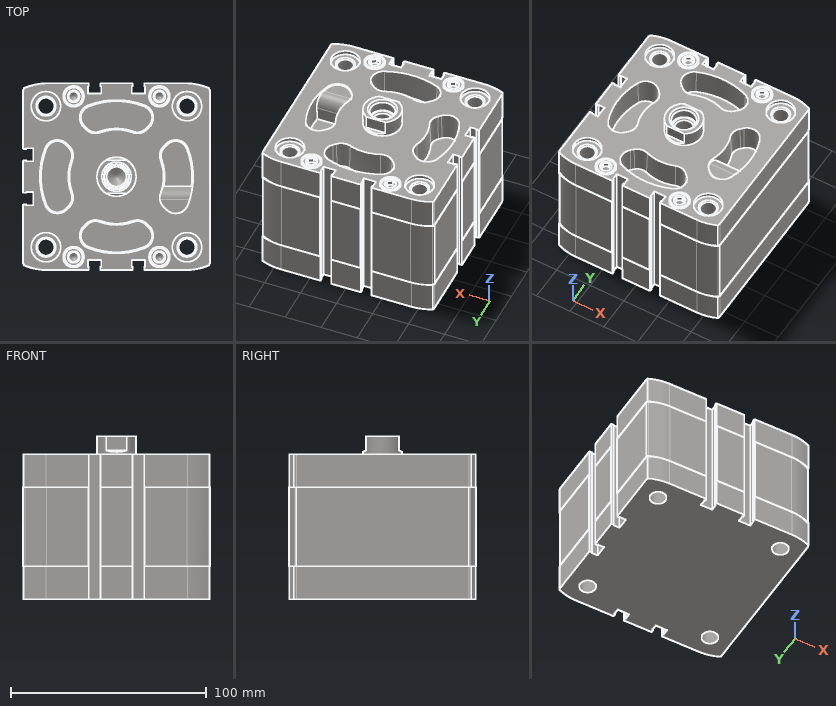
import cadquery as cq
import math

width = 95.5
half_width = width / 2
body_height = 74.1
total_height = 83.4
cap_height = 16.8
barrel_height = body_height - 2 * cap_height

cap_inset = 0.15
cap_arc_start = 36.2
cap_nose = (47.3, 45.25)
barrel_arc_start = 35.8
barrel_nose = (46.9, 44.85)
nose_start = 44.1

slot_offset = 11.2
slot_depth = 5.2
slot_mouth_width = 5.8
slot_inner_width = 6.6
slot_lip = 1.7
slot_mouth_chamfer = 0.3

mount_offset = 36.0
mount_hole_diameter = 8.57
mount_chamfer_diameter = 10.0
mount_seat_diameter = 15.0
mount_seat_depth = 2.4

screw_offset_x = 21.9
screw_offset_y = 41.0
screw_recess_diameter = 10.7
screw_recess_depth = 1.0
screw_head_diameter = 10.0
screw_top_diameter = 9.0
socket_flats = 5.0
socket_entry_diameter = 6.1
socket_depth = 3.0
drill_tip_angle = 118.0

pocket_inner_radius = 24.0
pocket_outer_radius = 39.2
pocket_half_length = 18.8
pocket_end_radius = 6.7
pocket_corner_flat = 2.0
pocket_depth = 15.0
pocket_draft = 2.5

boss_diameter = 13.0
boss_axis_y = -11.4
boss_top_drop = 0.8

rod_diameter = 20.0
rod_stickout = total_height - body_height
rod_insertion = cap_height
rod_length = rod_stickout + rod_insertion
rod_flats = 17.0
rod_flat_height = 7.3
rod_flat_runout_angle = 30.0
rod_mouth_diameter = 15.0
rod_mouth_depth = 1.2
rod_counterbore_diameter = 13.0
rod_counterbore_depth = 6.5
rod_thread_entry_diameter = 12.0
rod_thread_diameter = 10.11
rod_thread_end = 20.0


def tip_height(diameter):
    """Height of the cone a drill leaves at the end of a hole."""
    return diameter / 2 / math.tan(math.radians(drill_tip_angle / 2))


def chamfer_height(large_diameter, small_diameter):
    """Height of a 45 degree cone between two diameters."""
    return (large_diameter - small_diameter) / 2


def revolved(profile):
    """Solid of revolution about Z from (radius, z) points."""
    return cq.Workplane("XZ").polyline(profile).close().revolve(360, (0, 0, 0), (0, 1, 0))


def section(half_side, arc_start, nose, bottom, height):
    """Square block whose corners are an arc tangent to the Y face, then a flat nose to the X face."""
    nose_x, nose_y = nose
    run = nose_x - arc_start
    drop = half_side - nose_y
    radius = (run**2 + drop**2) / (2 * drop)
    half_sweep = math.atan2(drop, run)
    arc_middle_x = arc_start + radius * math.sin(half_sweep)
    arc_middle_y = half_side - radius * (1 - math.cos(half_sweep))
    return (
        cq.Workplane("XY", origin=(0, 0, bottom))
        .moveTo(half_side, -nose_start)
        .lineTo(half_side, nose_start)
        .lineTo(nose_x, nose_y)
        .threePointArc((arc_middle_x, arc_middle_y), (arc_start, half_side))
        .lineTo(-arc_start, half_side)
        .threePointArc((-arc_middle_x, arc_middle_y), (-nose_x, nose_y))
        .lineTo(-half_side, nose_start)
        .lineTo(-half_side, -nose_start)
        .lineTo(-nose_x, -nose_y)
        .threePointArc((-arc_middle_x, -arc_middle_y), (-arc_start, -half_side))
        .lineTo(arc_start, -half_side)
        .threePointArc((arc_middle_x, -arc_middle_y), (nose_x, -nose_y))
        .close()
        .extrude(height)
    )


def t_slot():
    """Slot cutter entering through the +Y face, centred on X = 0."""
    mouth = slot_mouth_width / 2
    inner = slot_inner_width / 2
    flare = mouth + slot_mouth_chamfer
    face = half_width
    lip_end = face - slot_lip
    floor = face - slot_depth
    right_side = [
        (flare, face),
        (mouth, face - slot_mouth_chamfer),
        (mouth, lip_end),
        (inner, lip_end),
        (inner, floor),
    ]
    left_side = [(-x, y) for x, y in reversed(right_side)]
    return cq.Workplane("XY").polyline(right_side + left_side).close().extrude(body_height)


def mount_hole():
    """Stepped through hole with a flat seat and a chamfer."""
    hole = mount_hole_diameter / 2
    chamfer = mount_chamfer_diameter / 2
    seat = mount_seat_diameter / 2
    seat_z = body_height - mount_seat_depth
    chamfer_z = seat_z - chamfer_height(mount_chamfer_diameter, mount_hole_diameter)
    return revolved([
        (0, 0),
        (hole, 0),
        (hole, chamfer_z),
        (chamfer, seat_z),
        (seat, seat_z),
        (seat, body_height),
        (0, body_height),
    ])


def screw_gap():
    """Ring-shaped gap around a screw head whose top edge is chamfered."""
    recess = screw_recess_diameter / 2
    head = screw_head_diameter / 2
    top = screw_top_diameter / 2
    floor = body_height - screw_recess_depth
    chamfer_z = body_height - chamfer_height(screw_head_diameter, screw_top_diameter)
    return revolved([
        (head, floor),
        (recess, floor),
        (recess, body_height),
        (top, body_height),
        (head, chamfer_z),
    ])


def screw_socket():
    """Hexagon socket with corners along Y, a conical entry and a drilled tip."""
    bottom = body_height - socket_depth
    across_corners = socket_flats / math.cos(math.pi / 6)
    hexagon = (
        cq.Workplane("XY", origin=(0, 0, bottom))
        .transformed(rotate=(0, 0, 90))
        .polygon(6, across_corners)
        .extrude(socket_depth)
    )
    entry_radius = socket_entry_diameter / 2
    entry = revolved([
        (0, body_height),
        (entry_radius, body_height),
        (0, body_height - entry_radius),
    ])
    tip = revolved([
        (0, bottom),
        (socket_flats / 2, bottom),
        (0, bottom - tip_height(socket_flats)),
    ])
    return hexagon.union(entry).union(tip)


def kidney_outline(inset, z):
    """Wire of the +Y kidney, moved inward by `inset`, between two arcs about the rod axis.

    At each end a round runs from the outer arc to a short 45 degree flat, and a fillet
    joins that flat to the inner arc.
    """
    inner_radius = pocket_inner_radius + inset
    outer_radius = pocket_outer_radius - inset
    length = pocket_half_length - inset
    end_radius = pocket_end_radius - inset
    end_x = length - end_radius
    end_y = math.sqrt((outer_radius - end_radius)**2 - end_x**2)
    end_centre = (end_x, end_y)

    flat = pocket_corner_flat * math.sqrt(0.5)
    flat_angle = -math.pi / 4
    inner_x = end_x + end_radius * math.cos(flat_angle) - flat
    inner_y = end_y + end_radius * math.sin(flat_angle) - flat
    flat_end = (inner_x, inner_y)
    normal_reach = (inner_y - inner_x) * math.sqrt(0.5)
    inner_fillet = (inner_x**2 + inner_y**2 - inner_radius**2) / (2 * (inner_radius - normal_reach))

    def on_circle(centre, radius, angle):
        return (centre[0] + radius * math.cos(angle), centre[1] + radius * math.sin(angle))

    def mirrored(point):
        return (-point[0], point[1])

    outer_angle = math.atan2(end_y, end_x)
    outer_end = on_circle((0, 0), outer_radius, outer_angle)
    end_middle = on_circle(end_centre, end_radius, 0)
    flat_start = on_circle(end_centre, end_radius, flat_angle)

    inner_centre = on_circle(flat_end, inner_fillet, flat_angle + math.pi)
    inner_angle = math.atan2(inner_centre[1], inner_centre[0])
    inner_middle = on_circle(inner_centre, inner_fillet, (flat_angle + inner_angle - math.pi) / 2)
    inner_end = on_circle((0, 0), inner_radius, inner_angle)

    return (
        cq.Workplane("XY", origin=(0, 0, z))
        .moveTo(*mirrored(outer_end))
        .threePointArc((0, outer_radius), outer_end)
        .threePointArc(end_middle, flat_start)
        .lineTo(*flat_end)
        .threePointArc(inner_middle, inner_end)
        .threePointArc((0, inner_radius), mirrored(inner_end))
        .threePointArc(mirrored(inner_middle), mirrored(flat_end))
        .lineTo(*mirrored(flat_start))
        .threePointArc(mirrored(end_middle), mirrored(outer_end))
        .close()
        .val()
    )


def kidney_pocket():
    """Kidney pocket on +Y whose wall leans inward down to the floor."""
    inset = pocket_depth * math.tan(math.radians(pocket_draft))
    top = kidney_outline(0, body_height)
    floor = kidney_outline(inset, body_height - pocket_depth)
    return cq.Workplane("XY").add(cq.Solid.makeLoft([top, floor], True))


def port_boss():
    """Material left standing in the +X pocket, rounded over on its +Y side."""
    radius = boss_diameter / 2
    top = body_height - boss_top_drop
    bottom = body_height - pocket_depth
    far_end = -pocket_half_length
    round_x = boss_axis_y + radius * math.sin(math.pi / 4)
    round_z = top - radius * (1 - math.cos(math.pi / 4))
    return (
        cq.Workplane("YZ", origin=(pocket_inner_radius / 2, 0, 0))
        .moveTo(far_end, bottom)
        .lineTo(far_end, top)
        .lineTo(boss_axis_y, top)
        .threePointArc((round_x, round_z), (boss_axis_y + radius, top - radius))
        .lineTo(boss_axis_y + radius, bottom)
        .close()
        .extrude(pocket_outer_radius - pocket_inner_radius / 2)
    )


def make_housing():
    body = section(half_width, barrel_arc_start, barrel_nose, cap_height, barrel_height)
    for cap_bottom in (0, cap_height + barrel_height):
        cap = section(half_width - cap_inset, cap_arc_start, cap_nose, cap_bottom, cap_height)
        body = body.union(cap)

    for face_angle in (0, 90, 180):
        for side in (-1, 1):
            slot = t_slot().translate((side * slot_offset, 0, 0))
            body = body.cut(slot.rotate((0, 0, 0), (0, 0, 1), face_angle))

    for side_x in (-1, 1):
        for side_y in (-1, 1):
            mount_place = (side_x * mount_offset, side_y * mount_offset, 0)
            screw_place = (side_x * screw_offset_x, side_y * screw_offset_y, 0)
            body = body.cut(mount_hole().translate(mount_place))
            body = body.cut(screw_gap().translate(screw_place))
            body = body.cut(screw_socket().translate(screw_place))

    for angle in (0, 90, 180):
        body = body.cut(kidney_pocket().rotate((0, 0, 0), (0, 0, 1), angle))
    port_pocket = kidney_pocket().rotate((0, 0, 0), (0, 0, 1), -90).cut(port_boss())
    body = body.cut(port_pocket)

    rod_seat = (
        cq.Workplane("XY", origin=(0, 0, body_height - rod_insertion))
        .circle(rod_diameter / 2)
        .extrude(rod_insertion)
    )
    return body.cut(rod_seat)


def rod_flat():
    """Cutter for the +Y wrench flat, ending in a sloped run-out."""
    flat_y = rod_flats / 2
    outside_y = rod_diameter / 2
    end_z = total_height - rod_flat_height
    runout = (outside_y - flat_y) * math.tan(math.radians(rod_flat_runout_angle))
    return (
        cq.Workplane("YZ", origin=(-rod_diameter / 2, 0, 0))
        .polyline([
            (flat_y, total_height),
            (flat_y, end_z),
            (outside_y, end_z - runout),
            (outside_y, total_height),
        ])
        .close()
        .extrude(rod_diameter)
    )


def rod_bore():
    """Threaded blind bore with a conical mouth and a counterbore."""
    mouth = rod_mouth_diameter / 2
    counterbore = rod_counterbore_diameter / 2
    entry = rod_thread_entry_diameter / 2
    thread = rod_thread_diameter / 2
    shoulder_z = total_height - rod_counterbore_depth
    thread_z = shoulder_z - chamfer_height(rod_thread_entry_diameter, rod_thread_diameter)
    end_z = total_height - rod_thread_end
    return revolved([
        (0, total_height),
        (mouth, total_height),
        (counterbore, total_height - rod_mouth_depth),
        (counterbore, shoulder_z),
        (entry, shoulder_z),
        (thread, thread_z),
        (thread, end_z),
        (0, end_z - tip_height(rod_thread_diameter)),
    ])


def make_rod():
    rod = (
        cq.Workplane("XY", origin=(0, 0, body_height - rod_insertion))
        .circle(rod_diameter / 2)
        .extrude(rod_length)
    )
    rod = rod.cut(rod_flat()).cut(rod_flat().mirror("XZ"))
    return rod.cut(rod_bore())


housing = make_housing()
rod = make_rod()

result = cq.Compound.makeCompound([housing.val(), rod.val()])